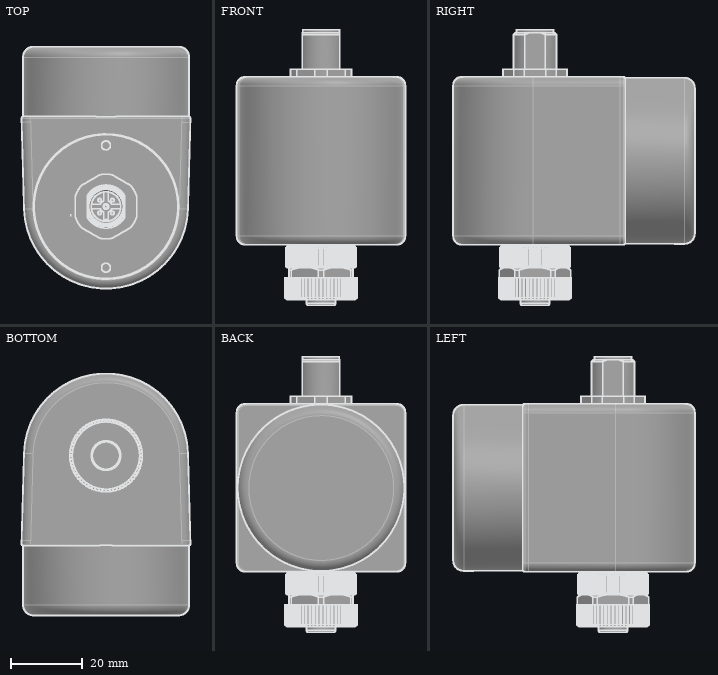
import cadquery as cq
import math

TOTAL_LENGTH = 67.35
TOTAL_HEIGHT = 76.7

BODY_HEIGHT = 46.75
FRONT_RADIUS = 22.85
BACK_WIDTH = 47.0
BACK_Y = 25.05
BACK_LAND = 1.55
SIDE_TAPER = 1.6
BODY_FILLET = 2.5
BACK_FILLET = 0.45
BODY_TOP = BODY_HEIGHT / 2
BODY_BOTTOM = -BODY_HEIGHT / 2

CAP_DIAMETER = 46.3
CAP_END_Y = TOTAL_LENGTH - FRONT_RADIUS
CAP_FILLET = 3.0

COVER_DIAMETER = 40.0
COVER_OPENING = 40.4
COVER_HOLE_DIAMETER = 2.5
COVER_HOLE_OFFSET = 17.0
COVER_RELIEF_DEPTH = 0.5

FLANGE_ACROSS_FLATS = 17.0
FLANGE_DIAMETER = 18.0
FLANGE_HEIGHT = 2.1
PLUG_HEIGHT = 13.1
PLUG_DIAMETER = 12.0
PLUG_WIDTH = 10.5
SHOULDER_DIAMETER = 11.0
SHOULDER_CHAMFER = 0.5
PLUG_LIP_DIAMETER = 10.3
PLUG_LIP_HEIGHT = 0.9
BORE_DIAMETER = 8.2
BORE_MOUTH_DIAMETER = 9.6
BORE_MOUTH_DEPTH = 0.8
BORE_DEPTH = 8.0
KEY_DIAMETER = 1.0
INSERT_SLOT_WIDTH = 1.2
INSERT_HUB_DIAMETER = 3.4
INSERT_SLOT_DEPTH = 0.5
PIN_DIAMETER = 1.0
PIN_CIRCLE_RADIUS = 2.5
PIN_TIP_DEPTH = 1.6
PIN_TIP_FILLET = 0.45
COLLAR_DIAMETER = 1.5
COLLAR_HEIGHT = 1.0

NECK_DIAMETER = 18.51
RING_TOP = 0.45
RING_BOTTOM = 6.4
RING_DIAMETER = 19.7
RING_FACE_DIAMETER = 18.7
RING_CHAMFER = 0.45
RING_TEETH = 82
NUT_BOTTOM = 9.1
NUT_ACROSS_FLATS = 17.9
NUT_DIAMETER = 19.9
NUT_FACE_DIAMETER = 18.4
NUT_CHAMFER = 0.6
GRIP_BOTTOM = 15.25
GRIP_DIAMETER = 20.2
GRIP_FACE_DIAMETER = 18.7
GRIP_CHAMFER = 0.6
GRIP_TEETH = 60
GROOVE_DEPTH = 0.35
GROOVE_SHARE = 0.4
STUB_BOTTOM = TOTAL_HEIGHT - BODY_HEIGHT - PLUG_HEIGHT
STUB_DIAMETER = 8.2
STUB_CHAMFER = 0.3
STUB_CHAMFER_LENGTH = 0.6


def cylinder(diameter, z_low, z_high, x=0.0, y=0.0):
    """Upright cylinder between two heights."""
    base = cq.Workplane("XY", origin=(x, y, z_low))
    return base.circle(diameter / 2).extrude(z_high - z_low)


def turned(profile):
    """Solid of revolution about Z from (diameter, z) points listed along its outside."""
    outline = [(0, profile[0][1])]
    for diameter, z in profile:
        outline.append((diameter / 2, z))
    outline.append((0, profile[-1][1]))
    return cq.Workplane("XZ").polyline(outline).close().revolve(360, (0, 0), (0, 1))


def hexagon(across_flats, z_low, z_high):
    """Hexagonal prism with two flats facing +X and -X."""
    corner_diameter = across_flats / math.cos(math.pi / 6)
    base = cq.Workplane("XY", origin=(0, 0, z_low)).transformed(rotate=(0, 0, 30))
    return base.polygon(6, corner_diameter).extrude(z_high - z_low)


def knurled(diameter, teeth, z_low, z_high):
    """Cylinder with straight V grooves around its rim."""
    tip = diameter / 2
    root = tip - GROOVE_DEPTH
    pitch = 2 * math.pi / teeth
    half_groove = GROOVE_SHARE * pitch / 2
    outline = []
    for tooth in range(teeth):
        centre = tooth * pitch
        for radius, angle in ((tip, centre - half_groove), (root, centre), (tip, centre + half_groove)):
            outline.append((radius * math.cos(angle), radius * math.sin(angle)))
    base = cq.Workplane("XY", origin=(0, 0, z_low))
    return base.polyline(outline).close().extrude(z_high - z_low)


def make_housing():
    taper = math.radians(SIDE_TAPER)
    tangent_x = FRONT_RADIUS * math.cos(taper)
    tangent_y = -FRONT_RADIUS * math.sin(taper)
    half_back = BACK_WIDTH / 2
    land_y = BACK_Y - BACK_LAND
    body = (
        cq.Workplane("XY", origin=(0, 0, BODY_BOTTOM))
        .moveTo(half_back, BACK_Y)
        .lineTo(half_back, land_y)
        .lineTo(tangent_x, tangent_y)
        .threePointArc((0, -FRONT_RADIUS), (-tangent_x, tangent_y))
        .lineTo(-half_back, land_y)
        .lineTo(-half_back, BACK_Y)
        .close()
        .extrude(BODY_HEIGHT)
    )
    body = body.faces("<Z or >Z").edges("not(>Y)").fillet(BODY_FILLET)
    body = body.faces(">Y").edges().fillet(BACK_FILLET)
    cap_plane = cq.Workplane("XZ", origin=(0, land_y, 0))
    cap = cap_plane.circle(CAP_DIAMETER / 2).extrude(land_y - CAP_END_Y)
    cap = cap.faces(">Y").edges().fillet(CAP_FILLET)
    return body.union(cap)


def cut_cover(housing):
    floor = BODY_TOP - COVER_RELIEF_DEPTH
    gap = cylinder(COVER_OPENING, floor, BODY_TOP).cut(cylinder(COVER_DIAMETER, floor, BODY_TOP))
    housing = housing.cut(gap)
    for y in (-COVER_HOLE_OFFSET, COVER_HOLE_OFFSET):
        housing = housing.cut(cylinder(COVER_HOLE_DIAMETER, floor, BODY_TOP, y=y))
    return housing


def make_pin(x, y, floor, tip):
    pin = cylinder(PIN_DIAMETER, floor, tip, x, y)
    return pin.faces(">Z").fillet(PIN_TIP_FILLET)


def make_upper_plug():
    top = BODY_TOP + PLUG_HEIGHT
    flange_top = BODY_TOP + FLANGE_HEIGHT
    lip_base = top - PLUG_LIP_HEIGHT
    floor = top - BORE_DEPTH
    flange = hexagon(FLANGE_ACROSS_FLATS, BODY_TOP, flange_top)
    flange = flange.intersect(cylinder(FLANGE_DIAMETER, BODY_TOP, flange_top))

    barrel = turned([
        (PLUG_DIAMETER, BODY_TOP),
        (PLUG_DIAMETER, lip_base - SHOULDER_CHAMFER),
        (SHOULDER_DIAMETER, lip_base),
        (PLUG_LIP_DIAMETER, lip_base),
        (PLUG_LIP_DIAMETER, top),
    ])
    plug_base = cq.Workplane("XY", origin=(0, 0, BODY_TOP))
    flats = plug_base.rect(PLUG_WIDTH, 2 * PLUG_DIAMETER).extrude(PLUG_HEIGHT)
    barrel = barrel.intersect(flats)
    bore = turned([
        (BORE_DIAMETER, floor),
        (BORE_DIAMETER, top - BORE_MOUTH_DEPTH),
        (BORE_MOUTH_DIAMETER, top),
    ])
    key = cylinder(KEY_DIAMETER, floor, lip_base, y=-BORE_DIAMETER / 2)

    slot_base = cq.Workplane("XY", origin=(0, 0, floor - INSERT_SLOT_DEPTH))
    recess = cylinder(INSERT_HUB_DIAMETER, floor - INSERT_SLOT_DEPTH, floor)
    recess = recess.union(slot_base.rect(BORE_DIAMETER, INSERT_SLOT_WIDTH).extrude(INSERT_SLOT_DEPTH))
    recess = recess.union(slot_base.rect(INSERT_SLOT_WIDTH, BORE_DIAMETER).extrude(INSERT_SLOT_DEPTH))
    recess = recess.intersect(cylinder(BORE_DIAMETER, floor - INSERT_SLOT_DEPTH, floor))

    plug = flange.union(barrel).cut(bore.union(recess)).union(key)
    pin_foot = floor - INSERT_SLOT_DEPTH
    pin_tip = top - PIN_TIP_DEPTH
    pin_offset = PIN_CIRCLE_RADIUS / math.sqrt(2)
    for x in (-pin_offset, pin_offset):
        for y in (-pin_offset, pin_offset):
            plug = plug.union(make_pin(x, y, pin_foot, pin_tip))
    plug = plug.union(cylinder(COLLAR_DIAMETER, pin_foot, pin_foot + COLLAR_HEIGHT))
    return plug.union(make_pin(0, 0, pin_foot, pin_tip))


def make_lower_plug():
    ring_top = BODY_BOTTOM - RING_TOP
    ring_bottom = BODY_BOTTOM - RING_BOTTOM
    nut_bottom = BODY_BOTTOM - NUT_BOTTOM
    grip_bottom = BODY_BOTTOM - GRIP_BOTTOM
    stub_bottom = BODY_BOTTOM - STUB_BOTTOM

    neck = cylinder(NECK_DIAMETER, ring_top, BODY_BOTTOM)
    ring = knurled(RING_DIAMETER, RING_TEETH, ring_bottom, ring_top)
    ring_envelope = 2 * RING_DIAMETER - RING_FACE_DIAMETER
    ring = ring.intersect(turned([
        (RING_FACE_DIAMETER, ring_bottom),
        (ring_envelope, ring_bottom + 2 * RING_CHAMFER),
        (ring_envelope, ring_top - 2 * RING_CHAMFER),
        (RING_FACE_DIAMETER, ring_top),
    ]))
    nut = hexagon(NUT_ACROSS_FLATS, nut_bottom, ring_bottom)
    nut = nut.intersect(turned([
        (NUT_DIAMETER, nut_bottom),
        (NUT_DIAMETER, ring_bottom - NUT_CHAMFER),
        (NUT_FACE_DIAMETER, ring_bottom),
    ]))
    grip = knurled(GRIP_DIAMETER, GRIP_TEETH, grip_bottom, nut_bottom)
    grip_envelope = 2 * GRIP_DIAMETER - GRIP_FACE_DIAMETER
    grip = grip.intersect(turned([
        (GRIP_FACE_DIAMETER, grip_bottom),
        (grip_envelope, grip_bottom + 2 * GRIP_CHAMFER),
        (grip_envelope, nut_bottom),
    ]))
    stub = turned([
        (STUB_DIAMETER - 2 * STUB_CHAMFER, stub_bottom),
        (STUB_DIAMETER, stub_bottom + STUB_CHAMFER_LENGTH),
        (STUB_DIAMETER, grip_bottom),
    ])
    return neck.union(ring).union(nut).union(grip).union(stub)


result = cut_cover(make_housing()).union(make_upper_plug()).union(make_lower_plug())